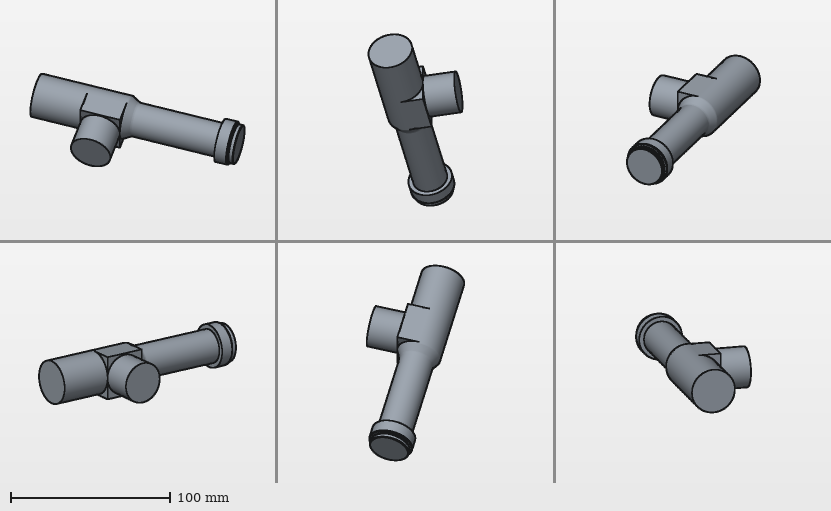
import cadquery as cq

overall_length = 132.9
body_diameter = 28.0
tube_diameter = 21.9
body_radius = body_diameter / 2
tube_radius = tube_diameter / 2

branch_diameter = 26.0
branch_length = 20.0
branch_reach = body_radius + branch_length
branch_x = 46.0
block_width = branch_diameter
block_end_x = branch_x + block_width / 2

taper_offset = 0.5
taper_start_x = block_end_x + taper_offset
taper_end_x = 65.1
shoulder_round = 2.0
neck_round = 2.7

collar_start_x = 121.0
collar_end_x = 129.0
collar_edge_chamfer = 0.4
groove_radius = 12.0
lip_start_x = 129.8
lip_radius = 12.6
lip_edge_chamfer = 0.4


def cylinder_along_x(start_x, end_x, radius):
    return cq.Workplane("YZ", origin=(start_x, 0, 0)).circle(radius).extrude(end_x - start_x)


def round_edge_at(solid, x, radius):
    """Round the circular edge centred on the main axis at the given X."""
    tolerance = 0.01
    near_point = cq.selectors.BoxSelector(
        (x - tolerance, -tolerance, -tolerance), (x + tolerance, tolerance, tolerance)
    )
    return solid.edges("%CIRCLE").edges(near_point).fillet(radius)


def make_stem():
    """Plain body that tapers down to the tube, with both taper edges rounded."""
    stem = (
        cq.Workplane("XY")
        .moveTo(0, 0)
        .lineTo(0, body_radius)
        .lineTo(taper_start_x, body_radius)
        .lineTo(taper_end_x, tube_radius)
        .lineTo(collar_start_x, tube_radius)
        .lineTo(collar_start_x, 0)
        .close()
        .revolve(360, (0, 0, 0), (1, 0, 0))
    )
    stem = round_edge_at(stem, taper_start_x, shoulder_round)
    return round_edge_at(stem, taper_end_x, neck_round)


def make_head():
    """Collar and end lip with a narrow groove between them."""
    collar = cylinder_along_x(collar_start_x, collar_end_x, body_radius)
    collar = collar.faces(">X").chamfer(collar_edge_chamfer)
    groove_core = cylinder_along_x(collar_end_x, lip_start_x, groove_radius)
    lip = cylinder_along_x(lip_start_x, overall_length, lip_radius)
    lip = lip.faces(">X").chamfer(lip_edge_chamfer)
    return collar.union(groove_core).union(lip)


def make_branch():
    """Square block on the -Y side of the body and the round branch leaving it."""
    block = cq.Workplane("XY").box(
        block_width, body_radius, body_diameter, centered=(True, False, True)
    )
    block = block.translate((branch_x, -body_radius, 0))
    branch = cq.Workplane("XZ", origin=(branch_x, 0, 0)).circle(branch_diameter / 2).extrude(branch_reach)
    return block.union(branch)


result = make_stem().union(make_head()).union(make_branch())